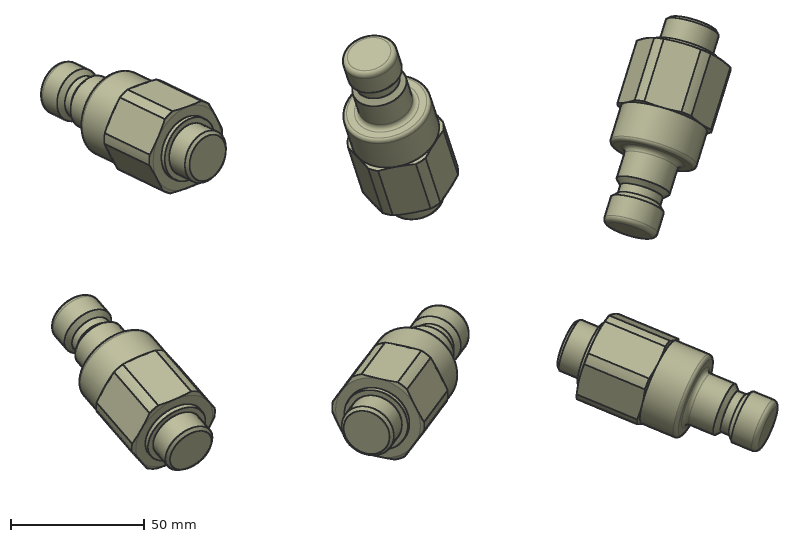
import cadquery as cq
import math

total_length = 83.0
groove_start = 10.3
groove_end = 17.85
shoulder_x = 30.05
hex_start = 45.15
hex_end = 71.1
collar_end = 73.0

stem_diameter = 20.9
groove_diameter = 16.8
body_diameter = 33.9
collar_diameter = 25.5
hex_corner_diameter = 37.0

hex_across_flats = 34.0
flats_up_angle = 90.0
hex_tilt = 2.0
hex_chamfer_length = 0.4
hex_chamfer_depth = 1.5

tip_radius = 2.1
shoulder_fillet = 2.0
body_edge_radius = 1.5
rear_chamfer = 1.25

stem_radius = stem_diameter / 2
groove_radius = groove_diameter / 2
groove_taper = stem_radius - groove_radius
body_radius = body_diameter / 2
collar_radius = collar_diameter / 2
hex_corner_radius = hex_corner_diameter / 2
arc_mid = math.sqrt(0.5)


def make_turned_body():
    """Revolve the stem, body, collar and rear spigot about X."""
    fillet_mid = shoulder_fillet * (1 - arc_mid)
    tip_mid = tip_radius * (1 - arc_mid)
    edge_mid = body_edge_radius * (1 - arc_mid)
    profile = (
        cq.Workplane("XY")
        .lineTo(0, stem_radius - tip_radius)
        .threePointArc((tip_mid, stem_radius - tip_mid), (tip_radius, stem_radius))
        .lineTo(groove_start, stem_radius)
        .lineTo(groove_start + groove_taper, groove_radius)
        .lineTo(groove_end - groove_taper, groove_radius)
        .lineTo(groove_end, stem_radius)
        .lineTo(shoulder_x - shoulder_fillet, stem_radius)
        .threePointArc(
            (shoulder_x - fillet_mid, stem_radius + fillet_mid),
            (shoulder_x, stem_radius + shoulder_fillet),
        )
        .lineTo(shoulder_x, body_radius - body_edge_radius)
        .threePointArc(
            (shoulder_x + edge_mid, body_radius - edge_mid),
            (shoulder_x + body_edge_radius, body_radius),
        )
        .lineTo(hex_start, body_radius)
        .lineTo(hex_start, collar_radius)
        .lineTo(collar_end, collar_radius)
        .lineTo(collar_end, stem_radius)
        .lineTo(total_length - rear_chamfer, stem_radius)
        .lineTo(total_length, stem_radius - rear_chamfer)
        .lineTo(total_length, 0)
        .close()
    )
    return profile.revolve(360, (0, 0, 0), (1, 0, 0))


def make_hexagon():
    """Hexagonal wrench section with turned corners and chamfered ends."""
    prism = (
        cq.Workplane("YZ", origin=(hex_start, 0, 0))
        .polygon(6, hex_across_flats, circumscribed=True)
        .extrude(hex_end - hex_start)
        .rotate((0, 0, 0), (1, 0, 0), flats_up_angle - hex_tilt)
    )
    chamfered_radius = hex_corner_radius - hex_chamfer_depth
    turned_limit = (
        cq.Workplane("XY")
        .moveTo(hex_start, 0)
        .lineTo(hex_start, chamfered_radius)
        .lineTo(hex_start + hex_chamfer_length, hex_corner_radius)
        .lineTo(hex_end - hex_chamfer_length, hex_corner_radius)
        .lineTo(hex_end, chamfered_radius)
        .lineTo(hex_end, 0)
        .close()
        .revolve(360, (0, 0, 0), (1, 0, 0))
    )
    return prism.intersect(turned_limit)


result = make_turned_body().union(make_hexagon())